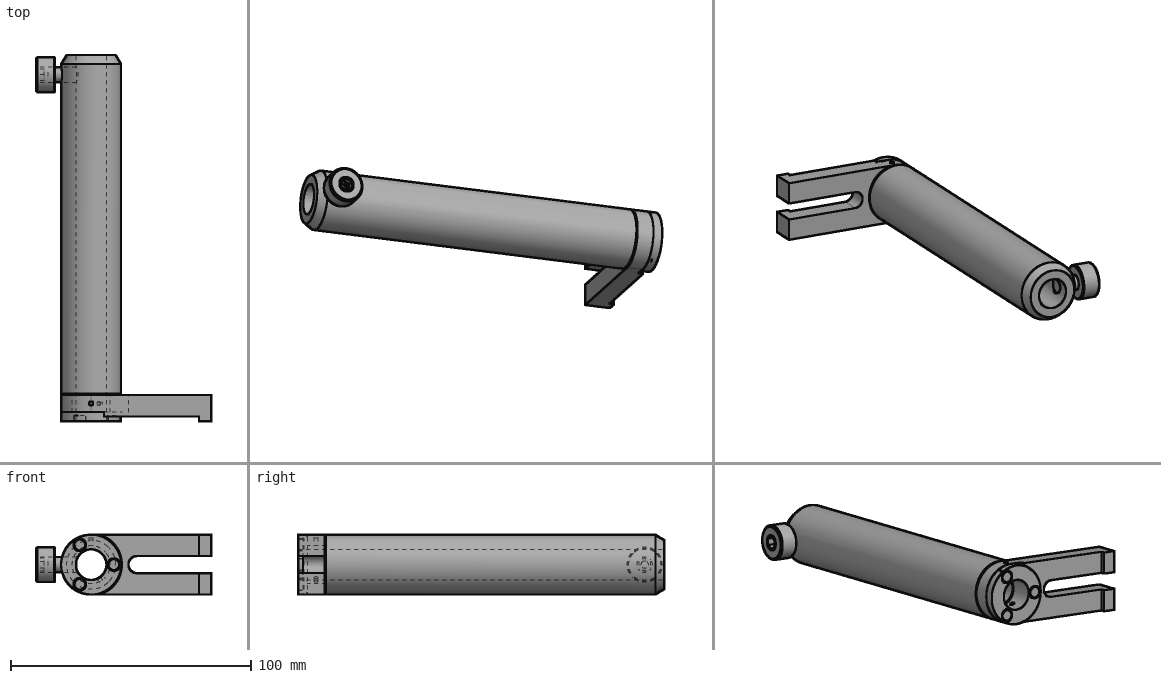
import cadquery as cq
import math

total_length = 152.5
outer_radius = 12.5
bore_radius = 6.33

arm_front = 2.0
arm_back = 11.0
arm_end_x = 50.0
arm_slot_width = 7.0
arm_slot_start_x = 15.5
toe_length = 5.2

flange_radius = 12.5
flange_thickness = 4.0
flange_clearance = 0.3
recess_side_x = 5.3
sleeve_radius = 8.0

magnet_count = 3
magnet_radius = 2.3
magnet_depth = 2.5
magnet_circle_radius = 9.5
magnet_clearance = 0.3

pin_radius = 0.84
pin_sink = 1.5
pin_y = 7.5
pin_angle = 90.0
sleeve_hole_angle = -60.0

spacer_thickness = 0.6
tube_front = arm_back + spacer_thickness

tube_taper_length = 3.8
tube_taper_depth = 2.3

knob_y = 144.3
knob_radius = 7.3
knob_outer_x = -22.9
knob_thickness = 8.0
knob_outer_chamfer = 0.6
knob_inner_chamfer = 0.5
screw_radius = 3.2
screw_tip_x = -6.1
socket_sides = 6
socket_width = 4.7
socket_depth = 3.4
socket_drill_radius = 1.5
socket_drill_depth = 4.9


def rod(radius, start_y, end_y, x=0.0, z=0.0):
    """A solid cylinder parallel to Y."""
    base = cq.Workplane("XZ", origin=(x, start_y, z))
    return base.circle(radius).extrude(start_y - end_y)


def cross_rod(radius, start_x, end_x, y):
    """A solid cylinder parallel to X, at Z = 0."""
    return cq.Workplane("YZ", origin=(start_x, y, 0)).circle(radius).extrude(end_x - start_x)


def block(x_range, y_range, z_range):
    """A box between two limits along each axis."""
    sizes = [high - low for low, high in (x_range, y_range, z_range)]
    corner = (x_range[0], y_range[0], z_range[0])
    return cq.Workplane("XY", origin=corner).box(*sizes, centered=False)


def radial_rod(radius, inner, outer, y, angle):
    """A cylinder square to the tube axis; the angle turns from +X towards +Z."""
    tilt = math.radians(angle)
    direction = cq.Vector(math.cos(tilt), 0, math.sin(tilt))
    start = direction * inner + cq.Vector(0, y, 0)
    return cq.Workplane(cq.Solid.makeCylinder(radius, outer - inner, start, direction))


def magnet_centres():
    step = 2 * math.pi / magnet_count
    angles = [step * index for index in range(magnet_count)]
    return [(magnet_circle_radius * math.cos(a), magnet_circle_radius * math.sin(a)) for a in angles]


def make_tube():
    tube = rod(outer_radius, tube_front, total_length)
    tube = tube.faces(">Y").chamfer(tube_taper_length, tube_taper_depth)
    tube = tube.cut(rod(bore_radius, tube_front, total_length))
    return tube.cut(cross_rod(screw_radius, -outer_radius, 0, knob_y))


def make_spacer():
    return rod(outer_radius, arm_back, tube_front).cut(rod(bore_radius, arm_back, tube_front))


def make_arm():
    height = (-outer_radius, outer_radius)
    arm = rod(outer_radius, arm_front, arm_back)
    arm = arm.union(block((0, arm_end_x), (arm_front, arm_back), height))
    arm = arm.union(block((arm_end_x - toe_length, arm_end_x), (0, arm_back), height))

    slot_radius = arm_slot_width / 2
    slot_centre_x = arm_slot_start_x + slot_radius
    slot = rod(slot_radius, 0, arm_back, x=slot_centre_x)
    slot = slot.union(block((slot_centre_x, arm_end_x), (0, arm_back), (-slot_radius, slot_radius)))
    arm = arm.cut(slot)

    recess = rod(flange_radius + flange_clearance, 0, flange_thickness)
    recess = recess.union(block((-outer_radius, recess_side_x), (0, flange_thickness), height))
    arm = arm.cut(recess).cut(rod(sleeve_radius, 0, arm_back))
    return arm.cut(radial_rod(pin_radius, 0, outer_radius, pin_y, pin_angle))


def make_pivot_ring():
    ring = rod(flange_radius, 0, flange_thickness).union(rod(sleeve_radius, 0, arm_back))
    ring = ring.cut(rod(bore_radius, 0, arm_back))
    for x, z in magnet_centres():
        ring = ring.cut(rod(magnet_radius + magnet_clearance, 0, magnet_depth, x, z))
    return ring.cut(radial_rod(pin_radius, 0, outer_radius, pin_y, sleeve_hole_angle))


def make_magnets():
    return [rod(magnet_radius, 0, magnet_depth, x, z) for x, z in magnet_centres()]


def make_pin():
    pin = radial_rod(pin_radius, 0, outer_radius - pin_sink, pin_y, pin_angle)
    return pin.cut(rod(sleeve_radius, 0, arm_back))


def make_knob():
    knob = cross_rod(knob_radius, knob_outer_x, knob_outer_x + knob_thickness, knob_y)
    knob = knob.faces("<X").chamfer(knob_outer_chamfer)
    knob = knob.faces(">X").chamfer(knob_inner_chamfer)
    return knob.cut(cross_rod(screw_radius, knob_outer_x, 0, knob_y))


def make_screw():
    screw = cross_rod(screw_radius, knob_outer_x, screw_tip_x, knob_y)
    socket = cq.Workplane("YZ", origin=(knob_outer_x, knob_y, 0))
    socket = socket.polygon(socket_sides, socket_width, circumscribed=True).extrude(socket_depth)
    drill_end_x = knob_outer_x + socket_drill_depth
    return screw.cut(socket).cut(cross_rod(socket_drill_radius, knob_outer_x, drill_end_x, knob_y))


tube = make_tube()
spacer = make_spacer()
arm = make_arm()
pivot_ring = make_pivot_ring()
magnets = make_magnets()
pin = make_pin()
knob = make_knob()
screw = make_screw()

result = cq.Compound.makeCompound(
    [
        tube.val(),
        spacer.val(),
        arm.val(),
        pivot_ring.val(),
        *[magnet.val() for magnet in magnets],
        pin.val(),
        knob.val(),
        screw.val(),
    ]
)